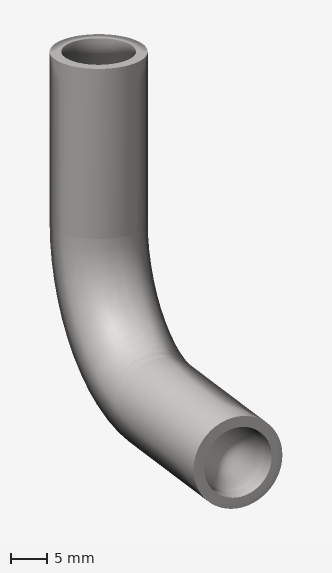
import cadquery as cq

overall_length = 51.75
outer_diameter = 13.5
bore_diameter = 10.3
straight_length = 25.0

bend_radius = overall_length - straight_length - outer_diameter / 2


def swept_rod(diameter):
    """Solid round rod: down a vertical leg, around a 90 degree bend, out along +X."""
    radius = diameter / 2
    vertical_leg = (
        cq.Workplane("XY")
        .workplane(offset=bend_radius)
        .circle(radius)
        .extrude(straight_length)
    )
    bend = (
        cq.Workplane("XY")
        .workplane(offset=bend_radius)
        .circle(radius)
        .revolve(90, (bend_radius, 0), (bend_radius, -1))
    )
    horizontal_leg = (
        cq.Workplane("YZ")
        .workplane(offset=bend_radius)
        .circle(radius)
        .extrude(straight_length)
    )
    return vertical_leg.union(bend).union(horizontal_leg)


result = swept_rod(outer_diameter).cut(swept_rod(bore_diameter))